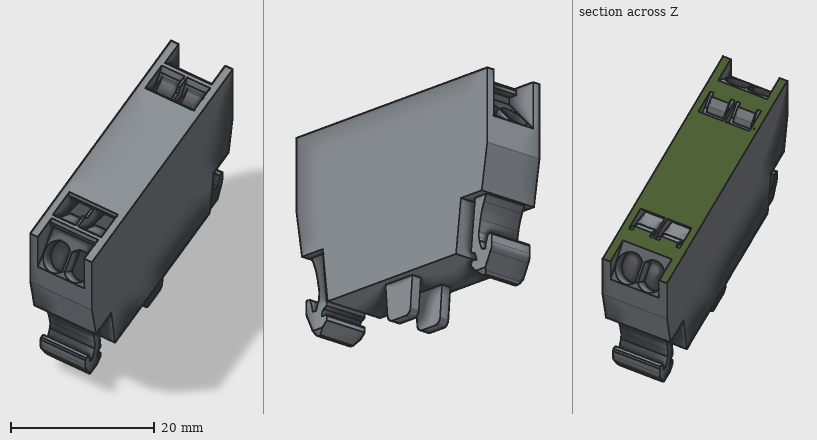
import cadquery as cq
import math


length = 39.0
width = 10.0
taper_depth = 11.08
shoulder_depth = 17.98
shoulder_inset = 1.15
base_depth = 26.0
base_inset_top = 5.4
base_inset_bottom = 6.4

entry_width = 7.5
entry_inset = 3.82
entry_chamfer = 0.43
lip_depth = 1.0
ramp_low_depth = 6.9
ramp_high_depth = 2.03
ramp_top_inset = ramp_low_depth - ramp_high_depth

hole_spacing = 3.35
hole_half_width = 2.0
hole_half_length = 2.35
hole_depth = 3.1
hole_web = 0.35
hole_center_inset = 1.7

pocket_width = 7.8
pocket_inset = 4.45
pocket_length = 4.2
pocket_inner = pocket_inset + pocket_length
pocket_chamfer = 0.35
steep_angle = math.radians(59)
floor_angle = math.radians(38)
toe_angle = math.radians(18)
steep_run = 1.52
floor_run = 2.2

web_width = 0.4
web_high_run = 1.95
web_step_run = 0.5
web_step_depth = 0.98

button_width = 2.7
button_top_run = 0.85
button_blend = 0.2
button_nose_run = 3.7
button_end_run = 4.33
button_end_depth = 4.55

clip_width = 7.25
clip_inner_inset = 4.75
hook_outer_inset = 0.5
hook_floor_depth = 26.0
catch_depth = 27.2
clip_tip_depth = 29.65
clip_tip_chamfer_width = 0.5
clip_tip_chamfer_height = 0.78

leg_bottom_depth = 31.7
leg_span = 7.25
leg_gap = 4.05
leg_half_length_top = 2.73
leg_half_length_bottom = 2.25
leg_fillet = 1.0


def at(inset, depth):
    """Point in the YZ plane."""
    return (inset - length / 2, -depth)


def across(profile, thickness, x=0.0):
    """Extrude a closed YZ profile to a slab of the given X thickness centred on x."""
    return profile.extrude(thickness / 2, both=True).translate((x, 0, 0))


def polygon(outline):
    return cq.Workplane("YZ").polyline([at(inset, depth) for inset, depth in outline]).close()


def both_ends(shape):
    return shape.union(shape.mirror("XZ"))


def housing():
    half = [
        (length / 2, 0),
        (0, 0),
        (0, taper_depth),
        (shoulder_inset, shoulder_depth),
        (base_inset_top, shoulder_depth),
        (base_inset_bottom, base_depth),
        (length / 2, base_depth),
    ]
    return both_ends(across(polygon(half), width))


def wire_entry():
    """Space above the ramp, undercutting the lip at its inner end."""
    lip_inset = entry_inset - entry_chamfer
    outline = [
        (0, 0),
        (entry_inset, 0),
        (lip_inset, entry_chamfer),
        (lip_inset, lip_depth),
        (ramp_top_inset, lip_depth),
        (ramp_top_inset, ramp_high_depth),
        (0, ramp_low_depth),
    ]
    return across(polygon(outline), entry_width)


def wire_holes():
    """Two blind oval holes square to the ramp, kept apart by a thin web."""
    y, z = at(hole_center_inset, ramp_low_depth - hole_center_inset)
    ramp = cq.Plane(origin=(0, y, z), xDir=(1, 0, 0), normal=(0, -1, 1))
    ovals = (
        cq.Workplane(ramp)
        .pushPoints([(-hole_spacing / 2, 0), (hole_spacing / 2, 0)])
        .ellipse(hole_half_length, hole_half_width, rotation_angle=90)
        .extrude(-hole_depth)
    )
    web = cq.Workplane(ramp).rect(hole_web, 4 * hole_half_length).extrude(-2 * hole_depth)
    return ovals.cut(web)


def pocket():
    """Inclined pocket: its floor falls steeply, then gently, and runs under the inner wall.

    The inner wall leans over the floor, parallel to the steep stretch.
    """
    steep_depth = steep_run * math.tan(steep_angle)
    floor_depth = steep_depth + floor_run * math.tan(floor_angle)
    floor_end = pocket_inset + steep_run + floor_run

    toe_slope = math.tan(toe_angle)
    wall_slope = math.tan(steep_angle)
    wall_depth = pocket_chamfer + (floor_end - pocket_inner) * wall_slope
    toe_run = (floor_depth - wall_depth) / (wall_slope - toe_slope)
    toe_depth = floor_depth + toe_run * toe_slope

    outline = [
        (pocket_inset, 0),
        (pocket_inset + steep_run, steep_depth),
        (floor_end, floor_depth),
        (floor_end + toe_run, toe_depth),
        (pocket_inner, pocket_chamfer),
        (pocket_inner + pocket_chamfer, 0),
    ]
    return across(polygon(outline), pocket_width)


def pocket_web():
    """Stepped web, full height at the outer end, trimmed to the pocket's floor and inner wall."""
    step_start = pocket_inset + web_high_run
    step_end = step_start + web_step_run
    beyond = length / 2
    outline = [
        (pocket_inset, 0),
        (step_start, 0),
        (step_end, web_step_depth),
        (pocket_inner, web_step_depth),
        (pocket_inner, pocket_chamfer),
        (beyond, pocket_chamfer),
        (beyond, base_depth),
        (pocket_inset, base_depth),
    ]
    return across(polygon(outline), web_width).intersect(pocket())


def button(x):
    """Button with a sloped top, blended into the steep wall and rounded down at its nose."""
    top_depth = button_top_run * math.tan(steep_angle)
    blend_start = (
        pocket_inset + button_top_run - button_blend * math.cos(steep_angle),
        top_depth - button_blend * math.sin(steep_angle),
    )
    blend_end = (
        pocket_inset + button_top_run + button_blend * math.cos(floor_angle),
        top_depth + button_blend * math.sin(floor_angle),
    )
    nose_start = (
        pocket_inset + button_nose_run,
        top_depth + (button_nose_run - button_top_run) * math.tan(floor_angle),
    )
    profile = (
        cq.Workplane("YZ")
        .moveTo(*at(pocket_inset, 0))
        .lineTo(*at(*blend_start))
        .tangentArcPoint(at(*blend_end), relative=False)
        .lineTo(*at(*nose_start))
        .tangentArcPoint(at(pocket_inset + button_end_run, button_end_depth), relative=False)
        .lineTo(*at(pocket_inset, button_end_depth))
        .close()
    )
    return across(profile, button_width, x).intersect(pocket())


def clip():
    """Flexible arm with a release hook on the outside and a catch notch on the inside."""
    outer_arm = (
        cq.Workplane("YZ")
        .moveTo(*at(3.95, shoulder_depth))
        .lineTo(*at(1.65, shoulder_depth))
        .lineTo(*at(2.1, 19.0))
        .threePointArc(at(2.55, 20.15), at(2.85, 21.45))
        .lineTo(*at(3.15, 23.2))
        .threePointArc(at(3.2, 23.6), at(3.15, 24.0))
        .lineTo(*at(3.12, 24.4))
        .lineTo(*at(3.12, 24.57))
        .lineTo(*at(2.7, 25.65))
        .threePointArc(at(2.57, 25.85), at(2.38, hook_floor_depth))
    )
    hook = (
        outer_arm
        .lineTo(*at(1.87, hook_floor_depth))
        .lineTo(*at(1.68, 25.1))
        .lineTo(*at(1.33, 24.1))
        .lineTo(*at(0.75, 24.0))
        .lineTo(*at(hook_outer_inset, 24.25))
        .lineTo(*at(hook_outer_inset, 25.4))
        .threePointArc(at(0.6, 26.13), at(0.8, 26.7))
    )
    tip = (
        hook
        .lineTo(*at(2.03, 29.2))
        .threePointArc(at(2.15, 29.45), at(2.38, clip_tip_depth))
        .lineTo(*at(2.92, clip_tip_depth))
        .lineTo(*at(clip_inner_inset, 28.05))
    )
    profile = (
        tip
        .lineTo(*at(clip_inner_inset, 27.38))
        .lineTo(*at(4.6, catch_depth))
        .lineTo(*at(3.75, catch_depth))
        .threePointArc(at(3.82, 26.6), at(4.1, 26.2))
        .lineTo(*at(clip_inner_inset, 25.85))
        .close()
    )
    corner = clip_tip_corner()
    return across(profile, clip_width).cut(corner).cut(corner.mirror("YZ"))


def clip_tip_corner():
    """Wedge that bevels one lower side edge of the clip."""
    side = clip_width / 2
    return (
        cq.Workplane("XZ")
        .polyline([
            (side, -clip_tip_depth + clip_tip_chamfer_height),
            (side, -clip_tip_depth),
            (side - clip_tip_chamfer_width, -clip_tip_depth),
        ])
        .close()
        .extrude(length / 2)
    )


def legs():
    outline = [
        (-leg_half_length_top, -base_depth),
        (leg_half_length_top, -base_depth),
        (leg_half_length_bottom, -leg_bottom_depth),
        (-leg_half_length_bottom, -leg_bottom_depth),
    ]
    block = cq.Workplane("YZ").polyline(outline).close()
    block = across(block, leg_span)
    block = block.faces("<Z").edges("|X").fillet(leg_fillet)
    gap_height = leg_bottom_depth - base_depth
    gap = cq.Workplane("XY").box(leg_gap, length, gap_height, centered=(True, True, False))
    return block.cut(gap.translate((0, 0, -leg_bottom_depth)))


button_offset = (pocket_width + web_width) / 4

end_cuts = wire_entry().union(wire_holes()).union(pocket())
end_parts = pocket_web().union(clip())
for side in (-1, 1):
    end_parts = end_parts.union(button(side * button_offset))

result = housing().cut(both_ends(end_cuts)).union(both_ends(end_parts)).union(legs())